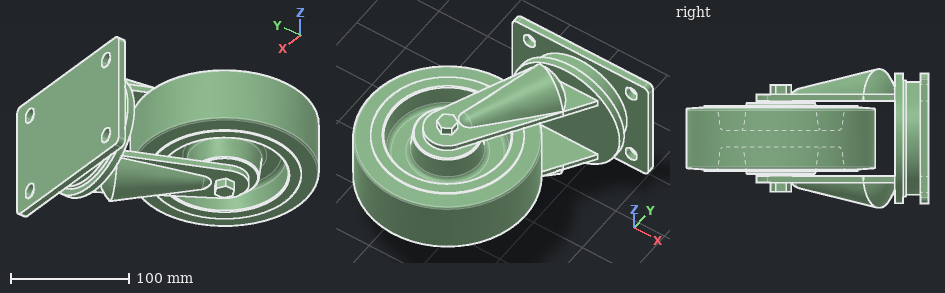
import cadquery as cq
import math


wheel_radius = 80.0
tread_half_width = 25.5
tread_edge = 1.5
tread_crown = 1.0
rim_radius = 130.0 / 2
rim_half_width = 27.7
recess_radius = 110.0 / 2
recess_lip = 1.0
web_outer_radius = 95.7 / 2
web_inner_radius = 35.5
web_half_width = 7.0
web_blend = 3.5
hub_radius = 29.3
hub_half_width = 30.3
hub_edge = 1.0

leg_inner_z = 31.5
leg_thickness = 5.7
leg_end_radius = 20.7
leg_top_left_x = 21.1
leg_top_right_x = 88.2
washer_diameter = 20.0
axle_half_length = 45.3
hex_across_flats = 15.4
hex_across_corners = hex_across_flats / math.cos(math.pi / 6)

overall_length = 205.0
overall_width = 117.7
plate_top_y = overall_length - wheel_radius
plate_thickness = 7.0
plate_length = 139.6
plate_width = 110.0
plate_corner_radius = 5.1
swivel_x = overall_length - wheel_radius - plate_length / 2
slot_spacing_x = 104.5
slot_spacing_z = 77.5
slot_length = 13.7
slot_width = 11.3
neck_diameter = 95.7
collar_diameter = 98.8
collar_height = 2.5
collar_fillet = 1.2
flange_diameter = 110.0
flange_height = 7.0
flange_bottom_y = 96.5
flange_top_y = flange_bottom_y + flange_height

bulge_start = (9.2, 16.6)
bulge_length = 76.7
bulge_angle = 60.3
bulge_small_radius = 10.9
bulge_large_radius = overall_width / 2 - leg_inner_z
bulge_tip_height = 9.0
bulge_dome_height = 11.9


def corner_blend(corner, wall_top):
    """Blend end on the sloping wall rising from a corner of the web."""
    slope_x = wall_top[0] - corner[0]
    slope_z = wall_top[1] - corner[1]
    scale = web_blend / math.hypot(slope_x, slope_z)
    return corner[0] + scale * slope_x, corner[1] + scale * slope_z


def make_wheel_blank():
    """Solid tread, rim and hub, revolved from a section symmetric about the XY plane."""
    step_radius = (hub_radius + recess_radius) / 2
    shoulder_radius = wheel_radius - tread_edge
    side_z = tread_half_width - tread_edge
    arc_offset = tread_edge * math.sqrt(0.5)
    arc_middle = (shoulder_radius + arc_offset, side_z + arc_offset)
    upper_points = [
        (rim_radius, tread_half_width + tread_crown),
        (rim_radius, rim_half_width),
        (step_radius, rim_half_width),
        (step_radius, hub_half_width),
        (0, hub_half_width),
    ]
    lower_points = [(radius, -z) for radius, z in reversed(upper_points)]
    return (
        cq.Workplane("XZ")
        .polyline(lower_points)
        .lineTo(shoulder_radius, -tread_half_width)
        .threePointArc((arc_middle[0], -arc_middle[1]), (wheel_radius, -side_z))
        .lineTo(wheel_radius, side_z)
        .threePointArc(arc_middle, (shoulder_radius, tread_half_width))
        .polyline(upper_points, includeCurrent=True)
        .close()
        .revolve(360, (0, 0), (0, 1))
    )


def make_recess():
    """Ring between hub and rim on the +Z side, with rounded corners at the web."""
    hub_top = (hub_radius, hub_half_width - hub_edge)
    rim_top = (recess_radius - recess_lip, rim_half_width - recess_lip)
    hub_corner = (web_inner_radius - web_blend, web_half_width)
    rim_corner = (web_outer_radius + web_blend, web_half_width)
    hub_blend_end = corner_blend(hub_corner, hub_top)
    rim_blend_end = corner_blend(rim_corner, rim_top)
    return (
        cq.Workplane("XZ")
        .moveTo(hub_radius - hub_edge, hub_half_width)
        .lineTo(*hub_top)
        .lineTo(*hub_blend_end)
        .tangentArcPoint((web_inner_radius, web_half_width), relative=False)
        .lineTo(web_outer_radius, web_half_width)
        .tangentArcPoint(rim_blend_end, relative=False)
        .lineTo(*rim_top)
        .lineTo(recess_radius, rim_half_width)
        .lineTo(recess_radius, hub_half_width)
        .close()
        .revolve(360, (0, 0), (0, 1))
    )


def make_wheel():
    """Wheel blank with the recess cut into both sides."""
    recess = make_recess()
    return make_wheel_blank().cut(recess).cut(recess.mirror("XY"))


def make_axle():
    """Hexagonal axle with corners along Y, and a washer between hub and each leg."""
    bolt = (
        cq.Workplane("XY", origin=(0, 0, -axle_half_length))
        .transformed(rotate=(0, 0, 90))
        .polygon(6, hex_across_corners)
        .extrude(2 * axle_half_length)
    )
    washers = (
        cq.Workplane("XY", origin=(0, 0, -leg_inner_z))
        .circle(washer_diameter / 2)
        .extrude(2 * leg_inner_z)
    )
    return bolt.union(washers)


def leg_tangent_point(top_x, side):
    """Point where the edge from (top_x, flange_bottom_y) touches the round leg end."""
    distance = math.hypot(top_x, flange_bottom_y)
    angle = math.atan2(flange_bottom_y, top_x) + side * math.acos(leg_end_radius / distance)
    return leg_end_radius * math.cos(angle), leg_end_radius * math.sin(angle)


def make_bulge():
    """Cone with domed ends, axis on the inner leg face, kept only outside that face."""
    cone = (
        cq.Workplane("XY")
        .moveTo(-bulge_tip_height, 0)
        .threePointArc(*tip_arc_points())
        .lineTo(bulge_length, bulge_large_radius)
        .threePointArc(*dome_arc_points())
        .close()
        .revolve(360, (0, 0), (1, 0))
        .rotate((0, 0, 0), (0, 0, 1), bulge_angle)
        .translate((*bulge_start, leg_inner_z))
    )
    keep = (
        cq.Workplane("XY", origin=(0, 0, leg_inner_z))
        .rect(2 * overall_length, 2 * flange_bottom_y)
        .extrude(2 * bulge_large_radius)
    )
    return cone.intersect(keep)


def cap_midpoint(height, radius):
    """Axial and radial position halfway along a spherical cap, measured from its rim plane."""
    sphere_radius = (radius**2 + height**2) / (2 * height)
    half_angle = math.atan2(radius, sphere_radius - height) / 2
    axial = height - sphere_radius * (1 - math.cos(half_angle))
    return axial, sphere_radius * math.sin(half_angle)


def tip_arc_points():
    axial, radial = cap_midpoint(bulge_tip_height, bulge_small_radius)
    return (-axial, radial), (0, bulge_small_radius)


def dome_arc_points():
    axial, radial = cap_midpoint(bulge_dome_height, bulge_large_radius)
    return (bulge_length + axial, radial), (bulge_length + bulge_dome_height, 0)


def make_fork():
    """Two mirrored legs, each a tapered plate carrying a conical bulge."""
    leg = (
        cq.Workplane("XY", origin=(0, 0, leg_inner_z))
        .moveTo(leg_top_left_x, flange_bottom_y)
        .lineTo(*leg_tangent_point(leg_top_left_x, 1))
        .threePointArc((0, -leg_end_radius), leg_tangent_point(leg_top_right_x, -1))
        .lineTo(leg_top_right_x, flange_bottom_y)
        .close()
        .extrude(leg_thickness)
        .union(make_bulge())
    )
    return leg.union(leg.mirror("XY"))


def swivel_disc(diameter, bottom_y, top_y):
    """Disc about the swivel axis, which is parallel to Y."""
    return (
        cq.Workplane("XZ", origin=(swivel_x, top_y, 0))
        .circle(diameter / 2)
        .extrude(top_y - bottom_y)
    )


def make_mount():
    """Slotted plate on top of the stepped swivel head."""
    plate_bottom_y = plate_top_y - plate_thickness
    plate = (
        cq.Workplane("XZ", origin=(swivel_x, plate_top_y, 0))
        .rect(plate_length, plate_width)
        .extrude(plate_thickness)
        .edges("|Y")
        .fillet(plate_corner_radius)
    )
    slots = (
        cq.Workplane("XZ", origin=(swivel_x, plate_top_y, 0))
        .rarray(slot_spacing_x, slot_spacing_z, 2, 2)
        .slot2D(slot_length, slot_width, 90)
        .extrude(plate_thickness)
    )
    neck = swivel_disc(neck_diameter, flange_top_y, plate_bottom_y)
    collar = swivel_disc(collar_diameter, flange_top_y, flange_top_y + collar_height)
    collar = collar.edges(">Y").fillet(collar_fillet)
    flange = swivel_disc(flange_diameter, flange_bottom_y, flange_top_y)
    return plate.cut(slots).union(neck).union(collar).union(flange)


result = make_wheel().union(make_axle()).union(make_fork()).union(make_mount())